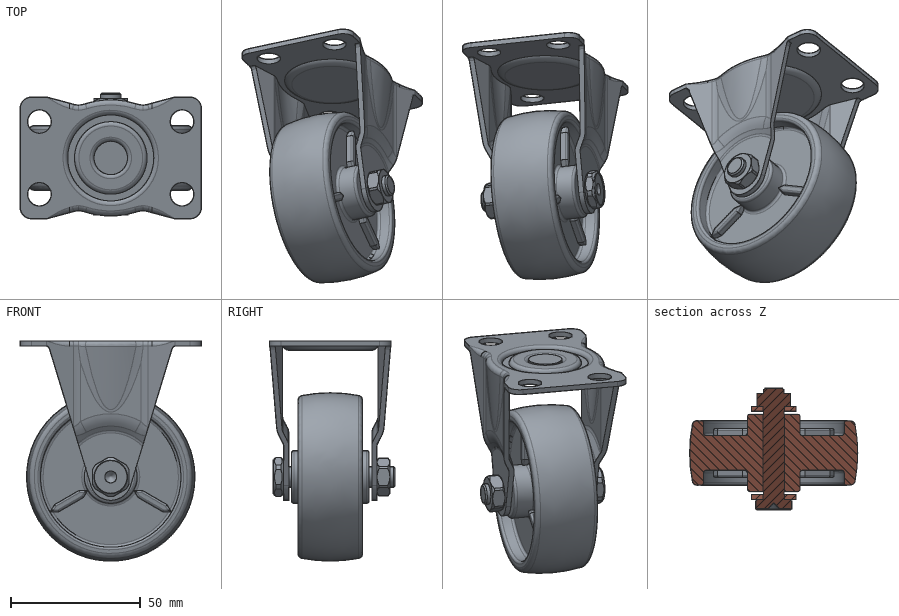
import cadquery as cq
import math


sheet = 2.0
plate_length = 70.0
plate_width = 47.0
plate_corner_radius = 4.5
plate_top = 52.5
plate_underside = plate_top - sheet

mount_hole_diameter = 9.0
mount_hole_pitch_x = 55.0
mount_hole_pitch_y = 28.0

dish_depth = 1.7
dish_rim_radius = 18.4
groove_outer_radius = 16.6
island_foot_radius = 14.0
island_top_radius = island_foot_radius - dish_depth
dish_base_radius = 15.6
button_radius = 6.45
button_round = 1.55

leg_root_half_width = 24.7
leg_bottom = -9.0
leg_tip_radius = 8.0
leg_taper_angle = 16.9
leg_root_fillet = 1.5
panel_y = 20.35
panel_half_width = 13.0
wing_bend_radius = 10.0
wing_bend_inner_radius = 2.0
top_bend_radius = 2.0
top_bend_half_width = 16.0

step_face_y = 18.0
step_foot_radius = 17.5
step_angle = 28.3
step_crest_bend_radius = 10.0
step_crest_inner_radius = 3.0
step_outer_radius = 25.0
step_foot_bend_radius = 2.0

bulge_radius = 32.5
bulge_crest_y = 22.6
bulge_height = 27.0
bulge_blend_radius = 11.3
bulge_base_half_width = 18.0
bulge_foot_margin = 1.0

wheel_radius = 32.5
tread_edge_radius = 31.1
wheel_width = 25.0
tread_round = 2.0
rim_inner_radius = 27.1
web_thickness = 13.5
hub_radius = 10.2
hub_length = 30.0
wheel_round = 1.0

rib_count = 3
rib_first_angle = 30.0
rib_point_angle = 60.0
rib_half_width = 0.8
rib_height = 2.75
rib_inner_tip_radius = 11.9
rib_outer_tip_radius = 25.3
rib_round = 0.8

axle_radius = 4.0
axle_tip_y = 24.99
axle_tip_chamfer = 0.6
head_across_flats = 14.0
head_corner_radius = 7.55
head_thickness = 4.1
head_chamfer = 1.1
head_recess_radius = 6.3
head_recess_depth = 0.5
nut_across_flats = 13.0
nut_corner_radius = 7.25
nut_thickness = 5.0
nut_chamfer = 0.8
centre_hole_radius = 2.3

clear = 60.0


def both_sides(half):
    """A half at +Y joined with its mirror image at -Y."""
    return half.union(half.mirror("XZ"))


def bent_sheet_block(inset, top, bend_radius, crest_radius):
    """Solid from Y = 0 out to the leg surface (panel, wings, step), set inwards by `inset`."""
    wing_angle = math.atan2(plate_width / 2 - panel_y, leg_root_half_width - panel_half_width)
    bend_x = panel_half_width + inset * math.tan(wing_angle / 2)
    flat_y = panel_y - inset
    wing_y = flat_y + (leg_root_half_width - bend_x) * math.tan(wing_angle)
    folded = (
        cq.Workplane("XY", origin=(0, 0, leg_bottom))
        .polyline([
            (-leg_root_half_width, 0),
            (leg_root_half_width, 0),
            (leg_root_half_width, wing_y),
            (bend_x, flat_y),
            (-bend_x, flat_y),
            (-leg_root_half_width, wing_y),
        ])
        .close()
        .extrude(top - leg_bottom)
    )
    bends = cq.selectors.BoxSelector(
        (-bend_x - 1, flat_y - 0.1, -clear), (bend_x + 1, flat_y + 0.1, clear)
    )
    folded = folded.edges("|Z").edges(bends).fillet(bend_radius)

    slope = math.tan(math.radians(step_angle))
    foot_radius = step_foot_radius + inset * math.tan(math.radians(step_angle / 2))
    foot_y = step_face_y - inset
    step_limit = (
        cq.Workplane("XY")
        .polyline([
            (0, 0),
            (2 * clear, 0),
            (2 * clear, foot_y + (2 * clear - foot_radius) * slope),
            (foot_radius, foot_y),
            (0, foot_y),
        ])
        .close()
        .revolve(360, (0, 0), (0, 1))
        .edges(cq.selectors.BoxSelector((-clear, foot_y - 0.1, -clear), (clear, foot_y + 0.1, clear)))
        .fillet(step_foot_bend_radius + inset)
    )
    crest = cq.selectors.BoxSelector(
        (1 - leg_root_half_width, flat_y - 0.1, 0), (leg_root_half_width - 1, clear, step_outer_radius)
    )
    return folded.intersect(step_limit).edges(crest).fillet(crest_radius)


def bulge_block(inset, top):
    """Solid behind the leaning cylindrical bulge, blended into the flat panel around it."""
    flat_y = panel_y - inset
    toe = plate_top - bulge_height
    lean = math.degrees(math.atan2(bulge_crest_y - panel_y, bulge_height))
    foot = cq.Workplane("XY", origin=(0, 0, toe - bulge_foot_margin))
    backing = foot.center(0, flat_y / 2).rect(2 * bulge_base_half_width, flat_y).extrude(clear)
    space = foot.center(0, clear / 2).rect(2 * bulge_base_half_width, clear).extrude(clear)
    cylinder = (
        cq.Workplane("XY", origin=(0, panel_y - bulge_radius, toe))
        .circle(bulge_radius - inset)
        .extrude(2 * clear, both=True)
        .rotate((0, panel_y, toe), (1, panel_y, toe), -lean)
    )
    outline = cq.selectors.BoxSelector(
        (1 - bulge_base_half_width, flat_y - 0.1, toe),
        (bulge_base_half_width - 1, flat_y + 0.1, toe + clear),
    )
    blended = backing.union(cylinder.intersect(space)).edges(outline).fillet(bulge_blend_radius + inset)
    below_top = cq.Workplane("XY").rect(2 * clear, 2 * clear).extrude(top)
    return blended.intersect(below_top)


def wing_round_section(wing_angle, along):
    """Wire of the waste outside the top bend of a wing; `along` runs from 0 (plate corner) to 1."""
    radius = top_bend_radius * math.sin(math.pi / 2 * along)
    x = leg_root_half_width - along * (leg_root_half_width - top_bend_half_width)
    y = plate_width / 2 - (leg_root_half_width - x) * math.tan(wing_angle)
    middle = radius * (1 - math.sqrt(0.5))
    return (
        cq.Workplane("YZ", origin=(x, y, plate_top))
        .moveTo(-radius, 0)
        .threePointArc((-middle, -middle), (0, -radius))
        .lineTo(radius, -radius)
        .lineTo(radius, radius)
        .lineTo(-radius, radius)
        .close()
        .val()
    )


def top_bend_edges(half_width):
    """Picks the top edges along the leg surface within `half_width` of the middle."""
    return cq.selectors.BoxSelector(
        (-half_width, panel_y - 0.1, plate_top - 0.1), (half_width, clear, plate_top + 0.1)
    )


def round_sheet_top(block):
    """Round the top bend of panel and wings: full radius in the middle, fading out along the wings."""
    wing_angle = math.atan2(plate_width / 2 - panel_y, leg_root_half_width - panel_half_width)
    stations = (0.03, 0.25, 0.5, 0.75, 1.0)
    waste = cq.Workplane(
        cq.Solid.makeLoft([wing_round_section(wing_angle, along) for along in stations], False)
    )
    middle_space = cq.Workplane("XY").box(2 * top_bend_half_width, 2 * clear, 2 * clear)
    middle = block.intersect(middle_space).edges(top_bend_edges(top_bend_half_width)).fillet(top_bend_radius)
    wings = block.cut(middle_space).cut(waste).cut(waste.mirror("YZ"))
    return middle.union(wings).clean()


def fork_outline():
    """Leg shape across X: a strip under the plate tapering to a round tip around the axle."""
    angle = math.radians(leg_taper_angle)
    tangent_x = leg_tip_radius * math.cos(angle)
    tangent_z = leg_bottom + leg_tip_radius * (1 - math.sin(angle))
    root_x = tangent_x + (plate_underside - tangent_z) * math.tan(angle)
    outline = (
        cq.Workplane("XZ")
        .moveTo(tangent_x, tangent_z)
        .lineTo(root_x, plate_underside)
        .lineTo(clear, plate_underside)
        .lineTo(clear, plate_top)
        .lineTo(-clear, plate_top)
        .lineTo(-clear, plate_underside)
        .lineTo(-root_x, plate_underside)
        .lineTo(-tangent_x, tangent_z)
        .threePointArc((0, leg_bottom), (tangent_x, tangent_z))
        .close()
        .extrude(clear, both=True)
    )
    roots = cq.selectors.BoxSelector(
        (-root_x - 1, -1, plate_underside - 0.1), (root_x + 1, 1, plate_underside + 0.1)
    )
    return outline.edges("|Y").edges(roots).fillet(leg_root_fillet)


def plate_ends():
    """The two ends of the plate, beyond the roots of the legs."""
    plate = (
        cq.Workplane("XY", origin=(0, 0, plate_underside))
        .rect(plate_length, plate_width)
        .extrude(sheet)
        .edges("|Z")
        .fillet(plate_corner_radius)
    )
    return plate.cut(cq.Workplane("XY").box(2 * leg_root_half_width, 2 * clear, 4 * clear))


def dish_base():
    """Round boss that the pressed dish forms below the plate."""
    return (
        cq.Workplane("XZ")
        .moveTo(0, plate_underside - dish_depth)
        .lineTo(dish_base_radius, plate_underside - dish_depth)
        .tangentArcPoint((dish_rim_radius, plate_underside), relative=False)
        .lineTo(dish_rim_radius, plate_underside + sheet / 2)
        .lineTo(0, plate_underside + sheet / 2)
        .close()
        .revolve(360, (0, 0), (0, 1))
    )


def dish_groove():
    """Waste of the ring groove, with rounded rims."""
    floor = plate_top - dish_depth
    rim_width = dish_rim_radius - groove_outer_radius
    rim_round = (rim_width**2 + dish_depth**2) / (2 * dish_depth)
    return (
        cq.Workplane("XZ")
        .moveTo(island_top_radius, plate_top)
        .radiusArc((island_foot_radius, floor), dish_depth)
        .lineTo(groove_outer_radius, floor)
        .radiusArc((dish_rim_radius, plate_top), rim_round)
        .close()
        .revolve(360, (0, 0), (0, 1))
    )


def button_groove():
    """Waste of the rounded groove around the middle button."""
    return (
        cq.Workplane("XZ")
        .moveTo(button_radius, plate_top)
        .lineTo(button_radius, plate_top - button_round)
        .radiusArc((button_radius + button_round, plate_top), button_round)
        .close()
        .revolve(360, (0, 0), (0, 1))
    )


def axle_bore(radius):
    """Cylinder along the axle, long enough to pass through every body."""
    return cq.Workplane("XZ").circle(radius).extrude(clear, both=True)


def make_bracket():
    """Plate and fork legs, pressed from one sheet."""
    sheet_block = round_sheet_top(
        bent_sheet_block(0, plate_top, wing_bend_radius, step_crest_bend_radius)
    )
    bulge = bulge_block(0, plate_top).edges(top_bend_edges(bulge_base_half_width)).fillet(top_bend_radius)
    outer = both_sides(sheet_block.union(bulge))
    sheet_space = bent_sheet_block(sheet, plate_underside, wing_bend_inner_radius, step_crest_inner_radius)
    inner = both_sides(sheet_space.union(bulge_block(sheet, plate_underside)))
    bracket = outer.cut(inner).intersect(fork_outline()).union(plate_ends())
    bracket = bracket.union(dish_base()).cut(dish_groove()).cut(button_groove())
    mount_holes = (
        cq.Workplane("XY", origin=(0, 0, plate_underside - 1))
        .rect(mount_hole_pitch_x, mount_hole_pitch_y, forConstruction=True)
        .vertices()
        .circle(mount_hole_diameter / 2)
        .extrude(sheet + 2)
    )
    return bracket.cut(mount_holes).cut(axle_bore(axle_radius)).clean()


class CirclesAt(cq.Selector):
    """Selects the circles around the axle with a given radius, on both sides of the wheel."""

    def __init__(self, radius, y):
        self.radius = radius
        self.y = y

    def filter(self, edges):
        return [
            edge
            for edge in edges
            if edge.geomType() == "CIRCLE"
            and abs(edge.radius() - self.radius) < 0.01
            and abs(abs(edge.Center().y) - self.y) < 0.01
        ]


def wheel_body():
    """Crowned tread, rim, web and hub, revolved around the axle."""
    face = wheel_width / 2
    web = web_thickness / 2
    hub_end = hub_length / 2
    body = (
        cq.Workplane("XY")
        .moveTo(0, hub_end)
        .lineTo(hub_radius, hub_end)
        .lineTo(hub_radius, web)
        .lineTo(rim_inner_radius, web)
        .lineTo(rim_inner_radius, face)
        .lineTo(tread_edge_radius, face)
        .threePointArc((wheel_radius, 0), (tread_edge_radius, -face))
        .lineTo(rim_inner_radius, -face)
        .lineTo(rim_inner_radius, -web)
        .lineTo(hub_radius, -web)
        .lineTo(hub_radius, -hub_end)
        .lineTo(0, -hub_end)
        .close()
        .revolve(360, (0, 0), (0, 1))
    )
    body = body.edges(CirclesAt(tread_edge_radius, face)).fillet(tread_round)
    rounded_circles = (
        (rim_inner_radius, face),
        (rim_inner_radius, web),
        (hub_radius, web),
        (hub_radius, hub_end),
    )
    for radius, y in rounded_circles:
        body = body.edges(CirclesAt(radius, y)).fillet(wheel_round)
    return body


def web_ribs():
    """Raised ribs with pointed ends and rounded edges on both faces of the web."""
    tip_in = rib_inner_tip_radius - 2 * rib_round
    tip_out = rib_outer_tip_radius + 2 * rib_round
    half_width = rib_half_width + rib_round
    point = half_width * math.tan(math.radians(rib_point_angle))
    rib = (
        cq.Workplane("XZ", origin=(0, -web_thickness / 2, 0))
        .polyline([
            (tip_in, 0),
            (tip_in + point, half_width),
            (tip_out - point, half_width),
            (tip_out, 0),
            (tip_out - point, -half_width),
            (tip_in + point, -half_width),
        ])
        .close()
        .extrude(rib_height)
        .faces("<Y")
        .edges()
        .fillet(rib_round)
    )
    ribs = cq.Workplane("XY")
    for index in range(rib_count):
        angle = rib_first_angle + index * 360 / rib_count
        ribs = ribs.union(rib.rotate((0, 0, 0), (0, 1, 0), angle))
    return both_sides(ribs)


def make_wheel():
    """Wheel with its ribs, bored for the axle."""
    return wheel_body().union(web_ribs()).cut(axle_bore(axle_radius)).clean()


def chamfered_hexagon(across_flats, corner_radius, near_y, far_y, chamfer):
    """Hexagon standing on a corner, turned down to `corner_radius` and chamfered at both ends."""
    length = abs(far_y - near_y)
    middle = cq.Workplane("XZ", origin=(0, (near_y + far_y) / 2, 0))
    across_corners = across_flats / math.cos(math.pi / 6)
    upright = middle.transformed(rotate=(0, 0, 90))
    hexagon = upright.polygon(6, across_corners).extrude(length / 2, both=True)
    turned = middle.circle(corner_radius).extrude(length / 2, both=True).edges().chamfer(chamfer)
    return hexagon.intersect(turned)


def make_axle():
    """Bolt with a recessed hexagon head at -Y and its nut at +Y."""
    head_y = -step_face_y - head_thickness
    nut_y = step_face_y + nut_thickness
    shank = (
        cq.Workplane("XZ", origin=(0, head_y, 0))
        .circle(axle_radius)
        .extrude(head_y - axle_tip_y)
        .faces(">Y")
        .chamfer(axle_tip_chamfer)
    )
    head = chamfered_hexagon(head_across_flats, head_corner_radius, -step_face_y, head_y, head_chamfer)
    nut = chamfered_hexagon(nut_across_flats, nut_corner_radius, step_face_y, nut_y, nut_chamfer)
    recess = cq.Workplane("XZ", origin=(0, head_y, 0)).circle(head_recess_radius).extrude(-head_recess_depth)
    centre_hole = cq.Workplane(
        cq.Solid.makeCone(
            centre_hole_radius,
            0,
            centre_hole_radius,
            pnt=cq.Vector(0, head_y + head_recess_depth, 0),
            dir=cq.Vector(0, 1, 0),
        )
    )
    return shank.union(head).union(nut).cut(recess).cut(centre_hole)


bracket = make_bracket()
wheel = make_wheel()
axle = make_axle()
result = cq.Compound.makeCompound([bracket.val(), wheel.val(), axle.val()])